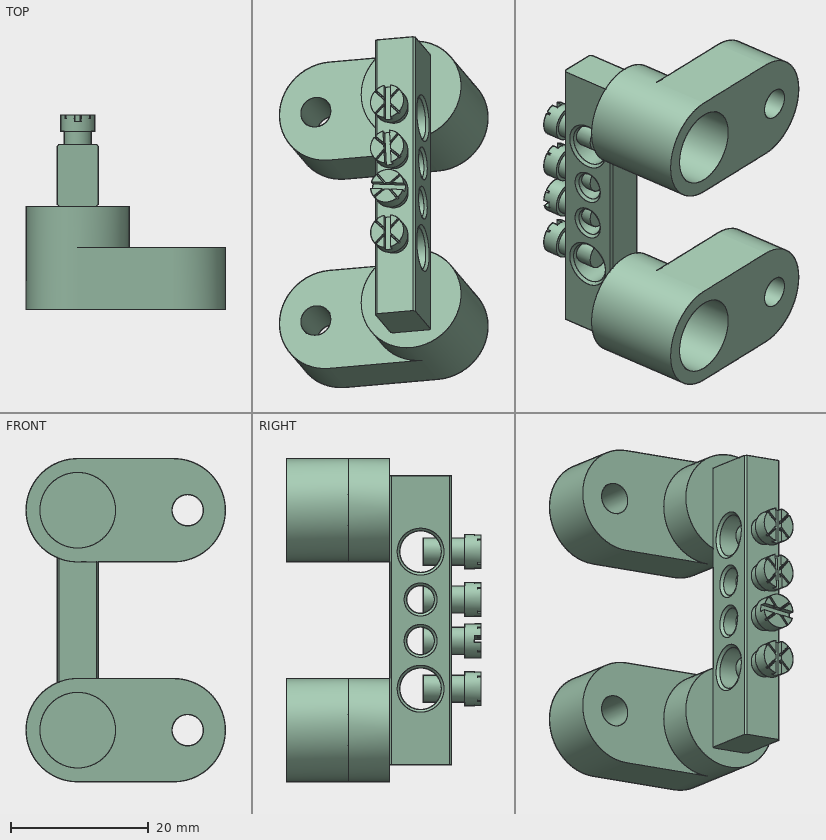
import cadquery as cq

ARM_END_RADIUS = 7.5
ARM_END_SPACING = 13.95
ARM_THICKNESS = 9.02
ARM_PITCH = 31.95
BOSS_LENGTH = 15.0
SOCKET_DIAMETER = 11.0
SOCKET_WALL = ARM_END_RADIUS - SOCKET_DIAMETER / 2
SOCKET_DEPTH = BOSS_LENGTH - SOCKET_WALL
ARM_HOLE_DIAMETER = 4.5
ARM_HOLE_X = 16.0

BAR_WIDTH = 6.0
BAR_DEPTH = 9.02
BAR_HEIGHT = 42.0
BAR_EDGE_CHAMFER = 0.3
BAR_FRONT_Y = BOSS_LENGTH
BAR_BACK_Y = BAR_FRONT_Y + BAR_DEPTH
WIRE_HOLE_Y = BAR_FRONT_Y + BAR_DEPTH / 2
LARGE_WIRE_HOLE = 6.0
SMALL_WIRE_HOLE = 4.0
WIRE_HOLE_CHAMFER = 0.4
OUTER_HOLE_Z = 9.95
INNER_HOLE_Z = 3.0

HEAD_DIAMETER = 5.0
HEAD_HEIGHT = 2.4
SHANK_DIAMETER = 4.0
SHANK_LENGTH = 6.0
HEAD_TOP_Y = 28.3
SHANK_TIP_Y = HEAD_TOP_Y - HEAD_HEIGHT - SHANK_LENGTH
DRIVE_SLOT_WIDTH = 1.0
DRIVE_SLOT_DEPTH = 1.0
TICK_SLOT_WIDTH = 0.25
TICK_SLOT_DEPTH = 0.5
TICK_ANGLE = 45

TERMINALS = [
    (OUTER_HOLE_Z, LARGE_WIRE_HOLE, 0),
    (INNER_HOLE_Z, SMALL_WIRE_HOLE, 3),
    (-INNER_HOLE_Z, SMALL_WIRE_HOLE, 83),
    (-OUTER_HOLE_Z, LARGE_WIRE_HOLE, 0),
]


def cylinder_y(diameter, start_y, end_y, x=0.0, z=0.0):
    """Cylinder along Y from start_y to end_y."""
    base = cq.Workplane("XZ", origin=(x, start_y, z))
    return base.circle(diameter / 2).extrude(start_y - end_y)


def make_arm(z):
    """Rounded plate with a bolt hole and a longer boss that holds a blind socket."""
    boss = cylinder_y(2 * ARM_END_RADIUS, 0, BOSS_LENGTH, z=z)
    far_end = cylinder_y(2 * ARM_END_RADIUS, 0, ARM_THICKNESS, x=ARM_END_SPACING, z=z)
    web = (
        cq.Workplane("XZ", origin=(ARM_END_SPACING / 2, 0, z))
        .rect(ARM_END_SPACING, 2 * ARM_END_RADIUS)
        .extrude(-ARM_THICKNESS)
    )
    socket = cylinder_y(SOCKET_DIAMETER, 0, SOCKET_DEPTH, z=z)
    bolt_hole = cylinder_y(ARM_HOLE_DIAMETER, 0, ARM_THICKNESS, x=ARM_HOLE_X, z=z)
    return boss.union(web).union(far_end).clean().cut(socket).cut(bolt_hole)


def wire_hole(diameter, z):
    """Hole along X through the bar, widened by a chamfer at both mouths."""
    half_width = BAR_WIDTH / 2
    radius = diameter / 2
    mouth_radius = radius + WIRE_HOLE_CHAMFER
    profile = [
        (-half_width, 0),
        (-half_width, mouth_radius),
        (WIRE_HOLE_CHAMFER - half_width, radius),
        (half_width - WIRE_HOLE_CHAMFER, radius),
        (half_width, mouth_radius),
        (half_width, 0),
    ]
    hole = cq.Workplane("XY").polyline(profile).close().revolve(360, (0, 0, 0), (1, 0, 0))
    return hole.translate((0, WIRE_HOLE_Y, z))


def make_bar():
    """Bar with bevelled upright edges, crossed by wire holes and screw bores."""
    bar = (
        cq.Workplane("XY", origin=(0, WIRE_HOLE_Y, 0))
        .box(BAR_WIDTH, BAR_DEPTH, BAR_HEIGHT)
        .edges("|Z")
        .chamfer(BAR_EDGE_CHAMFER)
    )
    for z, hole_diameter, _ in TERMINALS:
        bar = bar.cut(wire_hole(hole_diameter, z))
        bar = bar.cut(cylinder_y(SHANK_DIAMETER, SHANK_TIP_Y, BAR_BACK_Y, z=z))
    return bar


def head_slot(width, depth, turn):
    """Straight slot across the top of a screw head, turned from Z about the screw axis."""
    slot = cq.Workplane("XY").box(width, depth, 2 * HEAD_DIAMETER)
    slot = slot.translate((0, HEAD_TOP_Y - depth / 2, 0))
    return slot.rotate((0, 0, 0), (0, 1, 0), turn)


def make_screw(z, turn):
    """Headed screw with a drive slot and two shallow tick slots at 45 degrees to it."""
    head = cylinder_y(HEAD_DIAMETER, HEAD_TOP_Y - HEAD_HEIGHT, HEAD_TOP_Y)
    shank = cylinder_y(SHANK_DIAMETER, SHANK_TIP_Y, HEAD_TOP_Y - HEAD_HEIGHT)
    screw = head.union(shank).cut(head_slot(DRIVE_SLOT_WIDTH, DRIVE_SLOT_DEPTH, turn))
    for tick_turn in (turn - TICK_ANGLE, turn + TICK_ANGLE):
        screw = screw.cut(head_slot(TICK_SLOT_WIDTH, TICK_SLOT_DEPTH, tick_turn))
    return screw.translate((0, 0, z))


arms = [make_arm(z) for z in (-ARM_PITCH / 2, ARM_PITCH / 2)]
bar = make_bar()
screws = [make_screw(z, turn) for z, _, turn in TERMINALS]

result = cq.Compound.makeCompound(
    [bar.val()] + [arm.val() for arm in arms] + [screw.val() for screw in screws]
)